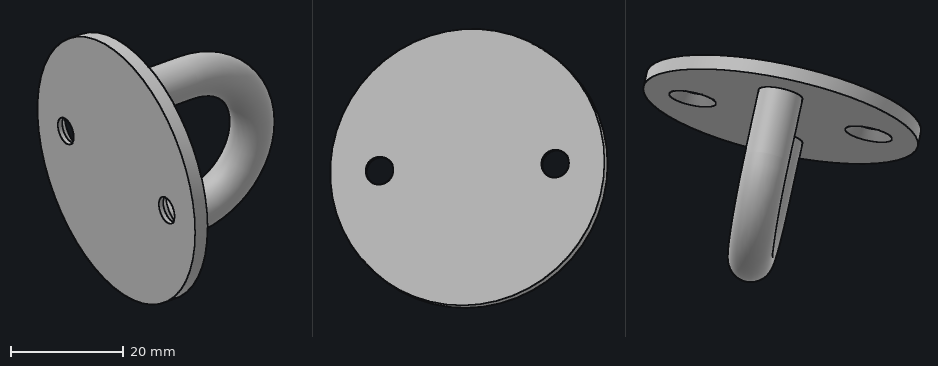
import cadquery as cq

plate_diameter = 50.0
plate_thickness = 2.7

hole_diameter = 5.0
hole_spacing = 32.0
countersink_diameter = 8.5
countersink_angle = 90.0

bar_diameter = 8.0
total_depth = 33.2
eye_outer_width = 36.5
bend_radius = (eye_outer_width - bar_diameter) / 2
bend_start = total_depth - eye_outer_width / 2


def make_plate():
    """Disc growing from Y = 0 towards +Y."""
    return cq.Workplane("XZ").circle(plate_diameter / 2).extrude(-plate_thickness)


def make_eye():
    """Round bar swept along two straight legs joined by a half-circle bend."""
    path = (
        cq.Workplane("YZ")
        .moveTo(plate_thickness, bend_radius)
        .lineTo(bend_start, bend_radius)
        .threePointArc((bend_start + bend_radius, 0), (bend_start, -bend_radius))
        .lineTo(plate_thickness, -bend_radius)
    )
    leg_foot = (0, plate_thickness, bend_radius)
    section = cq.Workplane("XZ", origin=leg_foot).circle(bar_diameter / 2)
    return section.sweep(path)


def drill_screw_holes(plate):
    """Countersunk through holes on both sides of the plate centre."""
    return (
        plate.faces(">Y")
        .workplane(origin=(0, plate_thickness, 0))
        .pushPoints([(-hole_spacing / 2, 0), (hole_spacing / 2, 0)])
        .cskHole(hole_diameter, countersink_diameter, countersink_angle)
    )


result = drill_screw_holes(make_plate()).union(make_eye())